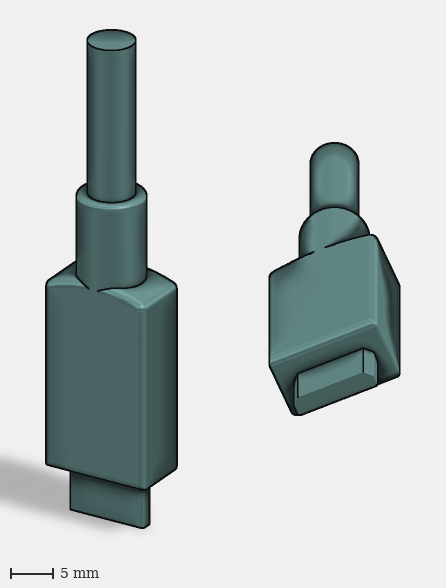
import cadquery as cq
import math

total_height = 62.4

body_width = 14.0
body_depth = 8.4
body_bottom = 6.35
crown_height = 32.0
arch_radius = 17.8
body_fillet = 1.0
body_end_fillet = 0.3

sleeve_diameter = body_depth
sleeve_top = 42.4
sleeve_fillet = 0.55
cable_diameter = 5.8

tongue_width = 10.35
tongue_depth = 2.45
tongue_chamfer = 0.95
tongue_fillet = 0.4
tongue_tip_fillet = 0.1

root_depth = 3.1


def make_body():
    """Block with an arched top, every edge rounded, the two short bottom edges more tightly."""
    half_width = body_width / 2
    arch_rise = arch_radius - math.sqrt(arch_radius**2 - half_width**2)
    shoulder_height = crown_height - arch_rise
    block = (
        cq.Workplane("XZ")
        .moveTo(-half_width, body_bottom)
        .lineTo(half_width, body_bottom)
        .lineTo(half_width, shoulder_height)
        .threePointArc((0, crown_height), (-half_width, shoulder_height))
        .close()
        .extrude(body_depth / 2, both=True)
    )
    block = block.edges("not (<Z and |Y)").fillet(body_fillet)
    return block.faces("<Z").edges("|Y").fillet(body_end_fillet)


def make_shaft(diameter, top):
    """Round shaft standing on a level inside the body."""
    bottom = crown_height - root_depth
    return cq.Workplane("XY").workplane(offset=bottom).circle(diameter / 2).extrude(top - bottom)


def make_tongue():
    """Flat tongue with large chamfers at the back and a rounded outline and tip."""
    tongue = cq.Workplane("XY").box(
        tongue_width, tongue_depth, body_bottom + root_depth, centered=(True, True, False)
    )
    tongue = tongue.edges("|Z and >Y").chamfer(tongue_chamfer)
    tongue = tongue.edges("|Z").edges("<X or >X or <Y").fillet(tongue_fillet)
    return tongue.faces("<Z").edges().fillet(tongue_tip_fillet)


sleeve = make_shaft(sleeve_diameter, sleeve_top).faces(">Z").edges().fillet(sleeve_fillet)
cable = make_shaft(cable_diameter, total_height)

result = make_body().union(sleeve).union(cable).union(make_tongue())